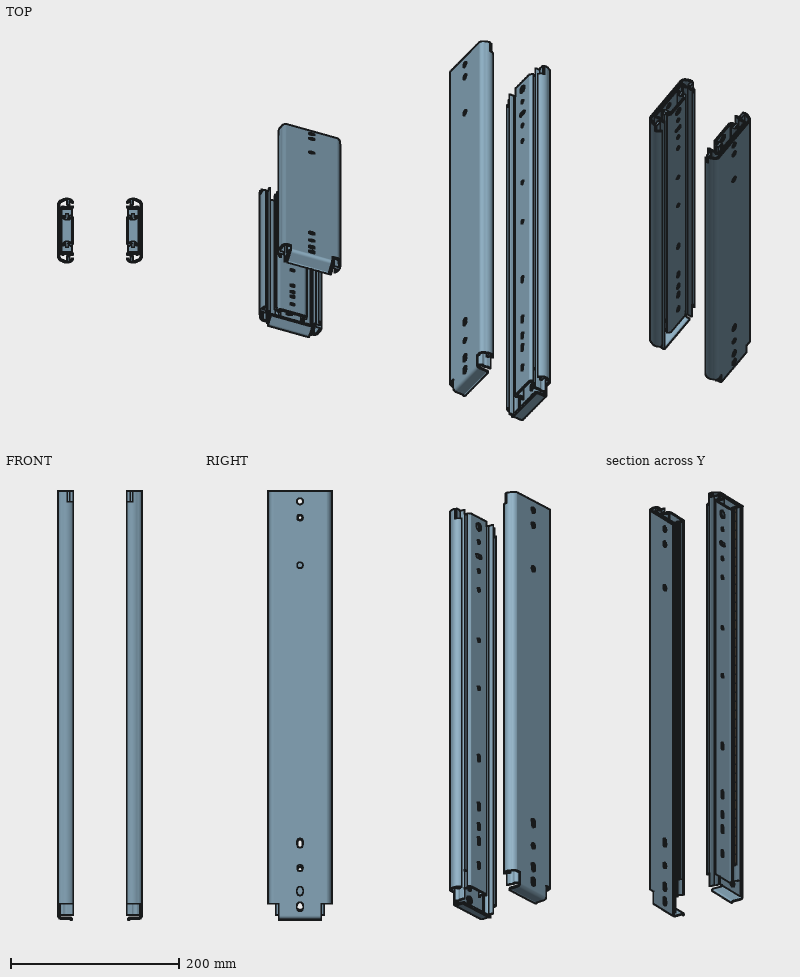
import cadquery as cq
import math

overall_width = 100.0
overall_height = 510.0
sheet = 2.0
half_sheet = sheet / 2
outer_face = -overall_width / 2

rail_half_width = 38.0
outer_web_half = 31.5
outer_corner_depth = 2.5
outer_corner_side = 34.0
outer_bend_depth = 5.5
outer_bend_side = 35.5
outer_apex_depth = 10.5
outer_lip_depth = 17.5
outer_lip_side = 33.5
outer_bottom = 19.5

foot_half_width = 25.5
foot_bend_radius = 3.0
foot_height = 2.3
foot_lip_depth = 16.0
foot_lip_radius = foot_height - half_sheet

notch_depth = 11.0
notch_height = 13.0

middle_web_depth = 3.5
middle_web_half = 26.5
middle_bend_depth = 6.0
middle_flange_side = 28.0
middle_groove_depth = 9.0
middle_groove_side = 27.0
middle_groove_end = 12.0
middle_tip_depth = 17.5
middle_bottom = 6.0

inner_web_depth = outer_lip_depth
inner_web_half = 15.0
inner_shoulder_depth = 15.5
inner_shoulder_side = 17.5
inner_race_depth = 11.5
inner_race_side = 14.0
inner_tip_depth = 6.5
inner_tip_side = 17.0
inner_bottom = 26.5

rib_width = 3.0
outer_rib_depth = 12.0
outer_rib_tip = 30.5
inner_rib_depth = 10.5
inner_rib_tip = 20.0
inner_rib_bottom = 48.0

mount_hole = 7.0
mount_hole_heights = [498.0, 478.5, 422.0, 62.0]
mount_slot_length = 10.5
mount_slot_heights = [92.0, 34.5]
outer_foot_slot_height = 16.0
middle_foot_hole = 9.5
middle_foot_hole_height = 17.5

inner_top_hole = 9.5
inner_top_hole_height = 498.0
inner_hole = 5.0
inner_hole_heights = [478.5, 440.5, 416.0, 351.0, 288.5]
inner_slot_length = 9.0
inner_slot_heights = [198.0, 109.0, 58.5]
inner_long_slot_length = 10.5
inner_long_slot_heights = [135.0, 90.5]
cross_slot_length = 10.5
cross_slot_height = 459.5


def block(depth_range, side_range, height_range):
    """Box between pairs of depth, side and height limits."""
    sizes = [limits[1] - limits[0] for limits in (depth_range, side_range, height_range)]
    corner = (outer_face + depth_range[0], side_range[0], height_range[0])
    return cq.Workplane("XY").box(*sizes, centered=False).translate(corner)


def sheet_rail(path, bottom):
    """Sheet of constant thickness along a centre path, extruded from bottom to the top."""
    section = path.offset2D(half_sheet)
    return section.extrude(overall_height - bottom)


def section_plane(bottom):
    """Horizontal plane whose local coordinates are depth and side."""
    return cq.Workplane("XY", origin=(outer_face, 0, bottom))


def hole_cutters(heights, diameter, depth_range, length=None, angle=90):
    """Cutters along X, round or, with a length, slotted at the given angle to Y."""
    start, end = depth_range
    sketch = cq.Workplane("YZ", origin=(outer_face + start, 0, 0))
    sketch = sketch.pushPoints([(0, height) for height in heights])
    if length is None:
        sketch = sketch.circle(diameter / 2)
    else:
        sketch = sketch.slot2D(length, diameter, angle)
    return sketch.extrude(end - start)


def web_range(web_depth):
    """Depth limits that pass right through a web."""
    return web_depth - sheet, web_depth + sheet


def cut_mounting_holes(rail, web_depth):
    """Cut the fixing holes and slots that the outer and middle webs share."""
    limits = web_range(web_depth)
    rail = rail.cut(hole_cutters(mount_hole_heights, mount_hole, limits))
    return rail.cut(hole_cutters(mount_slot_heights, mount_hole, limits, mount_slot_length))


def add_ribs(rail, depth, root_side, tip_side, bottom):
    """Stand one rib in each of the two grooves, from its root in the sheet to its tip."""
    depths = (depth - rib_width / 2, depth + rib_width / 2)
    for side in (-1, 1):
        sides = sorted((side * root_side, side * tip_side))
        rail = rail.union(block(depths, sides, (bottom, overall_height)))
    return rail


def make_foot():
    """Web extension, bent inward into a flat foot with a down-turned edge."""
    half_bend = math.radians(45)
    bend_side = foot_bend_radius * (1 - math.cos(half_bend))
    lip_bend = foot_lip_radius * math.cos(half_bend)
    lip_start = foot_lip_depth - foot_lip_radius
    path = (
        cq.Workplane("XZ", origin=(outer_face, foot_half_width, 0))
        .moveTo(half_sheet, outer_bottom + sheet)
        .lineTo(half_sheet, foot_height + foot_bend_radius)
        .threePointArc(
            (half_sheet + bend_side, foot_height + bend_side),
            (half_sheet + foot_bend_radius, foot_height),
        )
        .lineTo(lip_start, foot_height)
        .threePointArc(
            (lip_start + lip_bend, half_sheet + lip_bend),
            (foot_lip_depth, half_sheet),
        )
    )
    return path.offset2D(half_sheet).extrude(2 * foot_half_width)


def make_outer_rail():
    apex_side = rail_half_width - half_sheet
    path = (
        section_plane(outer_bottom)
        .moveTo(outer_lip_depth, -outer_lip_side)
        .threePointArc((outer_apex_depth, -apex_side), (outer_bend_depth, -outer_bend_side))
        .threePointArc((outer_corner_depth, -outer_corner_side), (half_sheet, -outer_web_half))
        .lineTo(half_sheet, outer_web_half)
        .threePointArc((outer_corner_depth, outer_corner_side), (outer_bend_depth, outer_bend_side))
        .threePointArc((outer_apex_depth, apex_side), (outer_lip_depth, outer_lip_side))
    )
    rail = sheet_rail(path, outer_bottom)
    notch_depths = (notch_depth, outer_lip_depth + sheet)
    notch_heights = (overall_height - notch_height, overall_height)
    for side in (-1, 1):
        notch_sides = sorted((side * outer_rib_tip, side * rail_half_width))
        rail = rail.cut(block(notch_depths, notch_sides, notch_heights))
    rail = add_ribs(rail, outer_rib_depth, apex_side, outer_rib_tip, outer_bottom)
    rail = rail.union(make_foot())
    rail = cut_mounting_holes(rail, half_sheet)
    limits = web_range(half_sheet)
    return rail.cut(hole_cutters([outer_foot_slot_height], mount_hole, limits, mount_slot_length))


def make_middle_rail():
    path = (
        section_plane(middle_bottom)
        .moveTo(middle_tip_depth, -middle_flange_side)
        .lineTo(middle_groove_end, -middle_flange_side)
        .threePointArc(
            (middle_groove_depth, -middle_groove_side), (middle_bend_depth, -middle_flange_side)
        )
        .lineTo(middle_web_depth, -middle_web_half)
        .lineTo(middle_web_depth, middle_web_half)
        .lineTo(middle_bend_depth, middle_flange_side)
        .threePointArc(
            (middle_groove_depth, middle_groove_side), (middle_groove_end, middle_flange_side)
        )
        .lineTo(middle_tip_depth, middle_flange_side)
    )
    rail = sheet_rail(path, middle_bottom)
    rail = cut_mounting_holes(rail, middle_web_depth)
    limits = web_range(middle_web_depth)
    return rail.cut(hole_cutters([middle_foot_hole_height], middle_foot_hole, limits))


def make_inner_rail():
    path = (
        section_plane(inner_bottom)
        .moveTo(inner_tip_depth, -inner_tip_side)
        .threePointArc(
            (inner_race_depth, -inner_race_side), (inner_shoulder_depth, -inner_shoulder_side)
        )
        .lineTo(inner_web_depth, -inner_web_half)
        .lineTo(inner_web_depth, inner_web_half)
        .lineTo(inner_shoulder_depth, inner_shoulder_side)
        .threePointArc((inner_race_depth, inner_race_side), (inner_tip_depth, inner_tip_side))
    )
    rail = sheet_rail(path, inner_bottom)
    rail = add_ribs(rail, inner_rib_depth, inner_race_side, inner_rib_tip, inner_rib_bottom)
    limits = web_range(inner_web_depth)
    rail = rail.cut(hole_cutters([inner_top_hole_height], inner_top_hole, limits))
    rail = rail.cut(hole_cutters(inner_hole_heights, inner_hole, limits))
    rail = rail.cut(hole_cutters(inner_slot_heights, inner_hole, limits, inner_slot_length))
    rail = rail.cut(hole_cutters(inner_long_slot_heights, inner_hole, limits, inner_long_slot_length))
    return rail.cut(hole_cutters([cross_slot_height], inner_hole, limits, cross_slot_length, 0))


bodies = []
for make_rail in (make_outer_rail, make_middle_rail, make_inner_rail):
    left_rail = make_rail()
    right_rail = left_rail.mirror("YZ")
    bodies += [left_rail.val(), right_rail.val()]

result = cq.Compound.makeCompound(bodies)